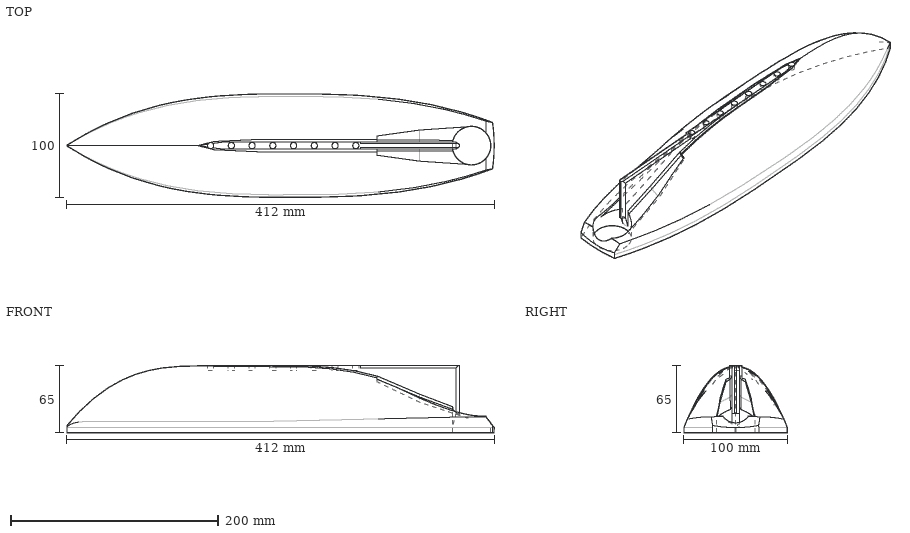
import cadquery as cq

LENGTH = 412.0
BEAM = 100.0
HEIGHT = 65.0
HALF_BEAM = BEAM / 2

RIM_HEIGHT = 5.0
KNUCKLE_INSET = 2.5
BOW_CREST = 7.0
BOW_HALF_WIDTH = 0.4

BOW_CROWN = 1.6
MIDSHIP_CROWN = 2.1
STERN_CROWN = 1.5
CROWN_RATE = 1.5

TRANSOM_CORNER_X = 410.0
STERN_CHAMFER_X = 404.0
TRANSOM_REACH = 50.0
STERN_CHAMFER_TOP = 15.5
WELL_DIAMETER = 37.0
WELL_X = 390.0

SPINE_WIDTH = 7.0
SPINE_START_X = 126.0
SPINE_POINT_LENGTH = 25.0
FIN_END_X = 378.5
FIN_FOOT_Z = 18.6
FIN_TAIL_TAPER = 3.5
FIN_EDGE_WIDTH = 2.0
FIN_BEVEL_START_X = 283.0
FIN_BEVEL_WIDTH = 1.6
FIN_BEVEL_HEIGHT = 2.5

HOLE_COUNT = 8
HOLE_PITCH = 20.0
FIRST_HOLE_X = 138.5
HOLE_DIAMETER = 6.0
HOLE_DEPTH = 5.0

FOOT_START_HALF_WIDTH = 4.0
FOOT_START_LENGTH = 16.0
FOOT_HALF_WIDTH = 6.0
FOOT_FULL_X = 185.0
FOOT_END_X = 299.0
FOOT_RISE = 0.2
FOOT_PROFILE_POINTS = 9

RECESS_STATIONS = [
    (FOOT_END_X, 55.0, 9.3, 0.63),
    (340.0, 37.0, 15.0, 0.5),
    (WELL_X, 17.0, 18.4, 0.22),
]

ROOT_HALF_WIDTH = 5.2
ROOT_HEIGHT = 2.0

STATION_COUNT = 21
WIDEST_X = 215.0
BOW_FULLNESS = 2.8
STERN_HALF_WIDTH = 21.8
STERN_FULLNESS = 2.7
CREST_HEIGHT = 64.6
CREST_LEVEL_START_X = 130.0
CREST_RISE_FULLNESS = 2.75
CREST_LEVEL_END_X = 200.0
CREST_FALL_END_X = 405.0
CREST_FALL_ONSET = 3.0
CREST_FALL_SETTLE = 2.0
DECK_HEIGHT_AFT = 16.8
KNUCKLE_HEIGHT = 11.0
KNUCKLE_HEIGHT_AFT = 16.0
KNUCKLE_RISE_X = 195.0
KNUCKLE_CREST_RATIO = 0.85


def half_breadth_at(x):
    if x < WIDEST_X:
        run = 1 - x / WIDEST_X
        return HALF_BEAM - (HALF_BEAM - BOW_HALF_WIDTH) * run ** BOW_FULLNESS
    run = (x - WIDEST_X) / (LENGTH - WIDEST_X)
    return HALF_BEAM - (HALF_BEAM - STERN_HALF_WIDTH) * run ** STERN_FULLNESS


def crest_at(x):
    if x < CREST_LEVEL_START_X:
        run = 1 - x / CREST_LEVEL_START_X
        return CREST_HEIGHT - (CREST_HEIGHT - BOW_CREST) * run ** CREST_RISE_FULLNESS
    run = (x - CREST_LEVEL_END_X) / (CREST_FALL_END_X - CREST_LEVEL_END_X)
    run = min(1, max(0, run))
    remaining = (1 - run ** CREST_FALL_ONSET) ** CREST_FALL_SETTLE
    return DECK_HEIGHT_AFT + (CREST_HEIGHT - DECK_HEIGHT_AFT) * remaining


def knuckle_at(x):
    rise = max(0, (x - KNUCKLE_RISE_X) / (LENGTH - KNUCKLE_RISE_X))
    level = KNUCKLE_HEIGHT + (KNUCKLE_HEIGHT_AFT - KNUCKLE_HEIGHT) * rise
    return min(level, KNUCKLE_CREST_RATIO * crest_at(x))


def crown_at(x):
    if x < WIDEST_X:
        run = min(1, x / CREST_LEVEL_START_X)
        return BOW_CROWN + (MIDSHIP_CROWN - BOW_CROWN) * run
    run = (x - WIDEST_X) / (LENGTH - WIDEST_X)
    return MIDSHIP_CROWN + (STERN_CROWN - MIDSHIP_CROWN) * min(1, CROWN_RATE * run)


def deck_edge(x, knuckle_y, knuckle_z, crest_z, side):
    """Crowned curve from the knuckle on one side up to the crest."""
    points = []
    for part in (1.0, 0.8, 0.55, 0.3, 0.0):
        z = crest_z - (crest_z - knuckle_z) * part ** crown_at(x)
        points.append(cq.Vector(x, side * knuckle_y * part, z))
    return points


def hull_section(x):
    """Closed cross-section wire of the hull at one station."""
    half_breadth = half_breadth_at(x)
    crest_z = crest_at(x)
    knuckle_z = knuckle_at(x)
    knuckle_y = half_breadth - KNUCKLE_INSET * min(1, half_breadth / HALF_BEAM)
    port = deck_edge(x, knuckle_y, knuckle_z, crest_z, 1)
    starboard = deck_edge(x, knuckle_y, knuckle_z, crest_z, -1)
    starboard.reverse()
    port_foot = cq.Vector(x, half_breadth, 0)
    port_rim = cq.Vector(x, half_breadth, RIM_HEIGHT)
    starboard_foot = cq.Vector(x, -half_breadth, 0)
    starboard_rim = cq.Vector(x, -half_breadth, RIM_HEIGHT)
    edges = [
        cq.Edge.makeLine(starboard_foot, port_foot),
        cq.Edge.makeLine(port_foot, port_rim),
        cq.Edge.makeLine(port_rim, port[0]),
        cq.Edge.makeSpline(port),
        cq.Edge.makeSpline(starboard),
        cq.Edge.makeLine(starboard[-1], starboard_rim),
        cq.Edge.makeLine(starboard_rim, starboard_foot),
    ]
    return cq.Wire.assembleEdges(edges)


def make_hull():
    spacing = LENGTH / (STATION_COUNT - 1)
    sections = [hull_section(i * spacing) for i in range(STATION_COUNT)]
    return cq.Workplane(cq.Solid.makeLoft(sections))


def shape_stern(hull):
    """Bow the transom in plan and slope its upper edge."""
    outside = (
        cq.Workplane("XY")
        .moveTo(TRANSOM_CORNER_X, -TRANSOM_REACH / 2)
        .threePointArc((LENGTH, 0), (TRANSOM_CORNER_X, TRANSOM_REACH / 2))
        .lineTo(LENGTH + TRANSOM_REACH, TRANSOM_REACH / 2)
        .lineTo(LENGTH + TRANSOM_REACH, -TRANSOM_REACH / 2)
        .close()
        .extrude(HEIGHT)
    )
    slope = (
        cq.Workplane("XZ")
        .polyline([
            (STERN_CHAMFER_X, STERN_CHAMFER_TOP),
            (LENGTH, RIM_HEIGHT),
            (LENGTH, HEIGHT),
            (STERN_CHAMFER_X, HEIGHT),
        ])
        .close()
        .extrude(HALF_BEAM, both=True)
    )
    return hull.cut(outside).cut(slope)


def recess_section(x, ridge_z, half_width, slope):
    """Section of the space above the roof-shaped recess."""
    eave_z = ridge_z - slope * half_width
    return cq.Wire.makePolygon([
        cq.Vector(x, -half_width, eave_z),
        cq.Vector(x, 0, ridge_z),
        cq.Vector(x, half_width, eave_z),
        cq.Vector(x, half_width, HEIGHT),
        cq.Vector(x, -half_width, HEIGHT),
    ], close=True)


def make_recess_cutter():
    sections = [recess_section(*station) for station in RECESS_STATIONS]
    return cq.Workplane(cq.Solid.makeLoft(sections, True))


def root_section(x, ridge_z, slope):
    """Trapezoid that widens the bottom of the fin, sunk down to the rim."""
    toe_z = ridge_z - slope * ROOT_HALF_WIDTH
    top_z = ridge_z - slope * SPINE_WIDTH / 2 + ROOT_HEIGHT
    half_width = SPINE_WIDTH / 2
    return cq.Wire.makePolygon([
        cq.Vector(x, -ROOT_HALF_WIDTH, RIM_HEIGHT),
        cq.Vector(x, ROOT_HALF_WIDTH, RIM_HEIGHT),
        cq.Vector(x, ROOT_HALF_WIDTH, toe_z),
        cq.Vector(x, half_width, top_z),
        cq.Vector(x, -half_width, top_z),
        cq.Vector(x, -ROOT_HALF_WIDTH, toe_z),
    ], close=True)


def make_fin_root():
    sections = [root_section(x, ridge_z, slope) for x, ridge_z, _, slope in RECESS_STATIONS]
    return cq.Workplane(cq.Solid.makeLoft(sections, True))


def make_foot():
    """Pointed band whose flat-sectioned top follows the hull crest."""
    near_x = SPINE_START_X + FOOT_START_LENGTH
    plan = (
        cq.Workplane("XY")
        .polyline([
            (SPINE_START_X, 0),
            (near_x, FOOT_START_HALF_WIDTH),
            (FOOT_FULL_X, FOOT_HALF_WIDTH),
            (FOOT_END_X, FOOT_HALF_WIDTH),
            (FOOT_END_X, -FOOT_HALF_WIDTH),
            (FOOT_FULL_X, -FOOT_HALF_WIDTH),
            (near_x, -FOOT_START_HALF_WIDTH),
        ])
        .close()
        .extrude(HEIGHT)
    )
    spacing = (FOOT_END_X - SPINE_START_X) / (FOOT_PROFILE_POINTS - 1)
    stations = [SPINE_START_X + i * spacing for i in range(FOOT_PROFILE_POINTS)]
    top = [(x, crest_at(x) + FOOT_RISE) for x in stations]
    profile = (
        cq.Workplane("XZ")
        .moveTo(*top[0])
        .spline(top[1:], includeCurrent=True)
        .lineTo(FOOT_END_X, RIM_HEIGHT)
        .lineTo(SPINE_START_X, RIM_HEIGHT)
        .close()
        .extrude(FOOT_HALF_WIDTH, both=True)
    )
    return plan.intersect(profile)


def make_spine():
    """Pointed strip with a level top, running aft into the bevelled fin."""
    half_width = SPINE_WIDTH / 2
    half_edge = FIN_EDGE_WIDTH / 2
    taper_x = FIN_END_X - FIN_TAIL_TAPER
    plan = (
        cq.Workplane("XY")
        .polyline([
            (SPINE_START_X, 0),
            (SPINE_START_X + SPINE_POINT_LENGTH, half_width),
            (taper_x, half_width),
            (FIN_END_X, half_edge),
            (FIN_END_X, -half_edge),
            (taper_x, -half_width),
            (SPINE_START_X + SPINE_POINT_LENGTH, -half_width),
        ])
        .close()
        .extrude(HEIGHT)
    )
    side = (
        cq.Workplane("XZ")
        .polyline([
            (SPINE_START_X, HEIGHT),
            (FIN_END_X, HEIGHT),
            (FIN_END_X, FIN_FOOT_Z),
            (taper_x, FIN_FOOT_Z),
            (WELL_X - WELL_DIAMETER / 2, RIM_HEIGHT),
            (SPINE_START_X, RIM_HEIGHT),
        ])
        .close()
        .extrude(half_width, both=True)
    )
    spine = plan.intersect(side)
    for direction in (1, -1):
        bevel = (
            cq.Workplane("YZ", origin=(FIN_BEVEL_START_X, 0, 0))
            .polyline([
                (direction * half_width, HEIGHT),
                (direction * (half_width - FIN_BEVEL_WIDTH), HEIGHT),
                (direction * half_width, HEIGHT - FIN_BEVEL_HEIGHT),
            ])
            .close()
            .extrude(FIN_END_X - FIN_BEVEL_START_X)
        )
        spine = spine.cut(bevel)
    return spine


def make_holes():
    row = [(FIRST_HOLE_X + i * HOLE_PITCH, 0) for i in range(HOLE_COUNT)]
    return (
        cq.Workplane("XY", origin=(0, 0, HEIGHT - HOLE_DEPTH))
        .pushPoints(row)
        .circle(HOLE_DIAMETER / 2)
        .extrude(2 * HOLE_DEPTH)
    )


hull = shape_stern(make_hull())
hull = hull.cut(make_recess_cutter())
well = cq.Workplane("XY").center(WELL_X, 0).circle(WELL_DIAMETER / 2).extrude(HEIGHT)
hull = hull.union(make_fin_root()).cut(well)
result = hull.union(make_foot()).union(make_spine()).cut(make_holes())